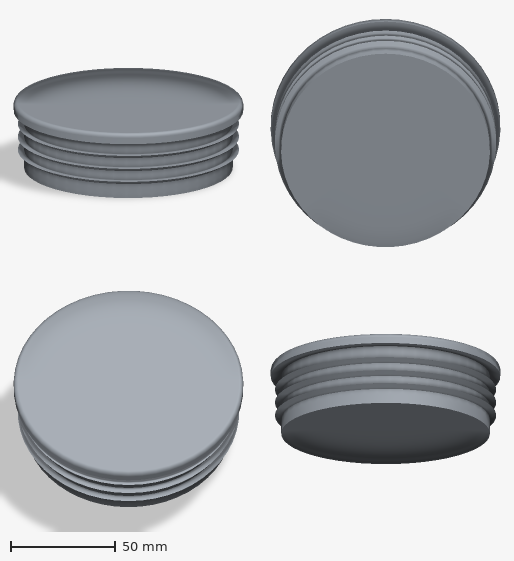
import cadquery as cq

flange_diameter = 110.0
flange_thickness = 5.1
flange_fillet = 2.0

total_height = 33.5
body_diameter = 100.0

fin_diameter = 106.0
fin_height = 2.0
fin_count = 3
fin_pitch = 6.5
lowest_fin_top = 9.0


def make_flange():
    flange = (
        cq.Workplane("XY")
        .workplane(offset=total_height - flange_thickness)
        .circle(flange_diameter / 2)
        .extrude(flange_thickness)
    )
    return flange.faces(">Z").edges().fillet(flange_fillet)


def make_body():
    """Plug revolved about Z, with the fins included in its outline."""
    body_radius = body_diameter / 2
    fin_radius = fin_diameter / 2
    outline = cq.Workplane("XZ").lineTo(body_radius, 0)
    for index in range(fin_count):
        fin_top = lowest_fin_top + index * fin_pitch
        outline = (
            outline.lineTo(body_radius, fin_top - fin_height)
            .lineTo(fin_radius, fin_top)
            .lineTo(body_radius, fin_top)
        )
    outline = outline.lineTo(body_radius, total_height - flange_thickness)
    outline = outline.lineTo(0, total_height - flange_thickness).close()
    return outline.revolve(360, (0, 0, 0), (0, 1, 0))


result = make_body().union(make_flange())